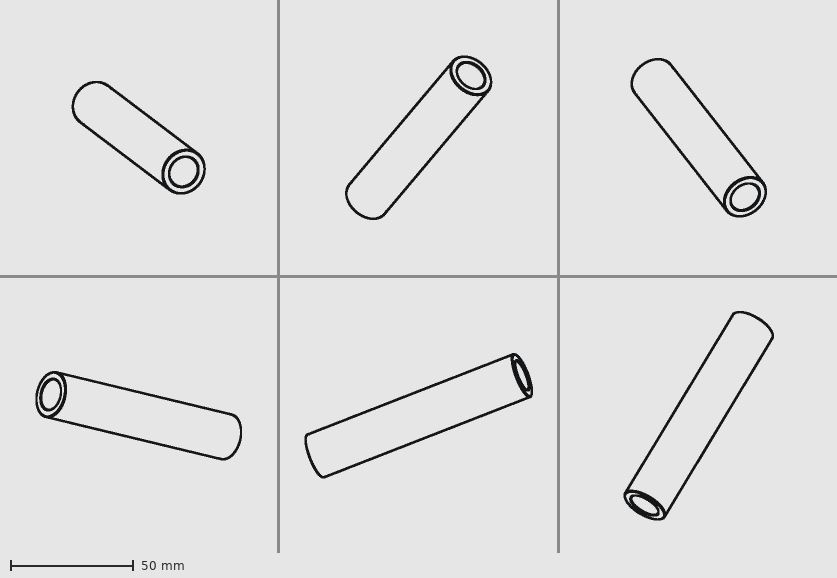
import cadquery as cq

length = 93.75
outer_diameter = 18.75
bore_diameter = 12.6
edge_chamfer = 0.3

tube = (
    cq.Workplane("YZ", origin=(-length / 2, 0, 0))
    .circle(outer_diameter / 2)
    .circle(bore_diameter / 2)
    .extrude(length)
)

result = tube.faces("<X or >X").edges().chamfer(edge_chamfer)